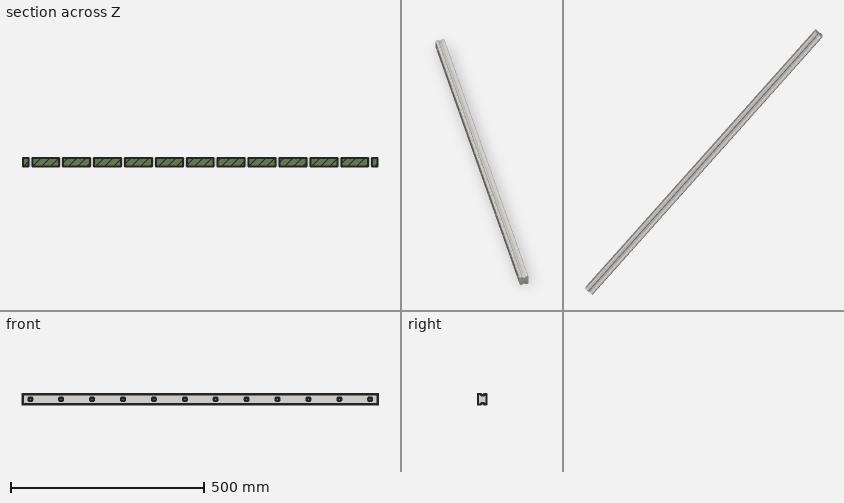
import cadquery as cq

length = 920.0
height = 23.0
width = 28.0

hole_diameter = 9.0
hole_pitch = 80.0
hole_count = 12

base_chamfer = 1.5
flange_level = 6.75
waist_width = 21.6
waist_top_level = 14.4
head_underside_level = 15.7
head_underside_width = 23.1
head_side_level = 17.2
head_top_chamfer = 2.6
groove_width = 1.4
groove_depth = 0.7
groove_land = 0.2

half_width = width / 2
half_waist = waist_width / 2
waist_bottom_level = flange_level + half_width - half_waist
chamfer_level = height - head_top_chamfer
groove_top = chamfer_level - groove_land
groove_bottom = groove_top - groove_width
groove_middle = (groove_bottom + groove_top) / 2


def half_section(side):
    """Half of the cross-section, from the centre plane to the +Z (side=1) or -Z (side=-1) edge."""

    def point(level, half):
        return (level - height / 2, side * half)

    return (
        cq.Workplane("YZ")
        .moveTo(*point(0, 0))
        .lineTo(*point(0, half_width - base_chamfer))
        .lineTo(*point(base_chamfer, half_width))
        .lineTo(*point(flange_level, half_width))
        .lineTo(*point(waist_bottom_level, half_waist))
        .lineTo(*point(waist_top_level, half_waist))
        .lineTo(*point(head_underside_level, head_underside_width / 2))
        .lineTo(*point(head_side_level, half_width))
        .lineTo(*point(groove_bottom, half_width))
        .threePointArc(point(groove_middle, half_width - groove_depth), point(groove_top, half_width))
        .lineTo(*point(chamfer_level, half_width))
        .lineTo(*point(height, half_width - head_top_chamfer))
        .lineTo(*point(height, 0))
        .close()
    )


def rail_body():
    """Both half sections extruded along X and joined, centred on the origin."""
    upper, lower = [half_section(side).extrude(length / 2, both=True) for side in (1, -1)]
    return upper.union(lower).clean()


def mounting_holes():
    """Row of cylinders running through the rail along Y."""
    row = cq.Workplane("XZ").rarray(hole_pitch, 1, hole_count, 1)
    return row.circle(hole_diameter / 2).extrude(height, both=True)


result = rail_body().cut(mounting_holes())